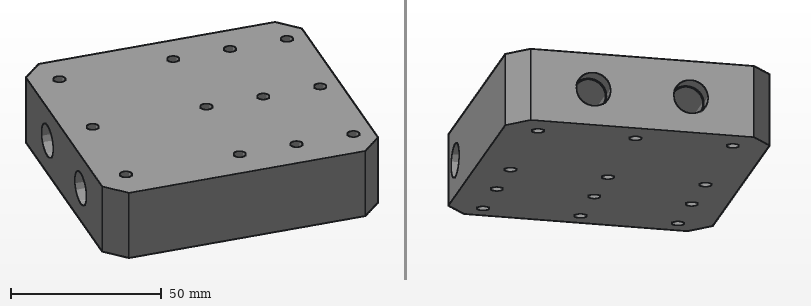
import cadquery as cq

width = 90.0
length = 97.0
height = 25.0
corner_chamfer = 7.0

mount_diameter = 4.1
mount_column_pitch = 33.2
mount_row_pitch = 20.0
second_row_y = 21.5
mount_row_steps = (1, 0, -1, -3)

bore_diameter = 11.0
port_diameter = 11.6
port_depth = 6.0
channel_x = mount_column_pitch / 2
cross_channel_y = second_row_y + mount_row_pitch / 2


def chamfered_block():
    block = cq.Workplane("XY").box(width, length, height)
    return block.edges("|Z").chamfer(corner_chamfer)


def mounting_holes():
    centres = [
        (column * mount_column_pitch, second_row_y + step * mount_row_pitch)
        for column in (-1, 0, 1)
        for step in mount_row_steps
    ]
    plane = cq.Workplane("XY").workplane(offset=-height / 2)
    return plane.pushPoints(centres).circle(mount_diameter / 2).extrude(height)


def channel(mouth, direction, depth):
    """Round bore with a slightly wider port at its mouth."""
    plane = cq.Plane(origin=mouth, normal=direction)
    bore = cq.Workplane(plane).circle(bore_diameter / 2).extrude(depth)
    port = cq.Workplane(plane).circle(port_diameter / 2).extrude(port_depth)
    return bore.union(port)


result = chamfered_block().cut(mounting_holes())

for side in (-1, 1):
    result = result.cut(channel((side * channel_x, -length / 2, 0), (0, 1, 0), length))

cross_depth = width / 2 + channel_x
result = result.cut(channel((-width / 2, cross_channel_y, 0), (1, 0, 0), cross_depth))